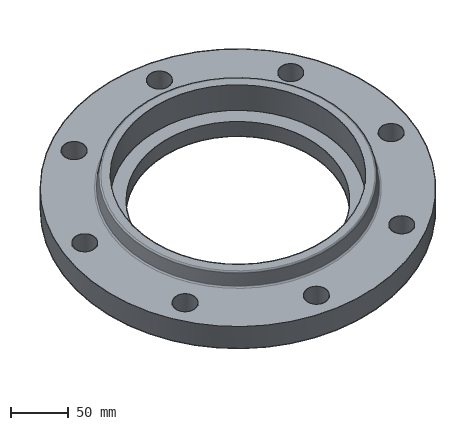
import cadquery as cq
import math

flange_diameter = 342.9
flange_thickness = 26.92
raised_face_diameter = 273.6
raised_face_height = 6.35
overall_height = 49.28

hub_base_diameter = 246.0
hub_top_diameter = 240.5
hub_root_fillet = 1.6
hub_rim_fillet = 1.6

bore_diameter = 194.0
socket_diameter = 221.5
socket_floor_height = 18.2

bolt_count = 8
bolt_circle_diameter = 298.45
bolt_hole_diameter = 22.35

flange_top_z = raised_face_height + flange_thickness
hub_height = overall_height - flange_top_z


def disc(diameter, bottom_z, height):
    """Upright cylinder centred on the Z axis."""
    return cq.Workplane("XY").workplane(offset=bottom_z).circle(diameter / 2).extrude(height)


def make_hub():
    """Cone frustum standing on top of the plate."""
    taper_angle = math.degrees(math.atan2((hub_base_diameter - hub_top_diameter) / 2, hub_height))
    base = cq.Workplane("XY").workplane(offset=flange_top_z).circle(hub_base_diameter / 2)
    return base.extrude(hub_height, taper=taper_angle)


def make_body():
    """Solid plate, raised face and hub with the hub edges rounded."""
    raised_face = disc(raised_face_diameter, 0, raised_face_height)
    plate = disc(flange_diameter, raised_face_height, flange_thickness)
    body = raised_face.union(plate).union(make_hub())
    body = body.faces(">Z").edges().fillet(hub_rim_fillet)
    plate_top = body.faces(cq.selectors.NearestToPointSelector((0, 0, flange_top_z)))
    hub_root = plate_top.edges(cq.selectors.RadiusNthSelector(0))
    return hub_root.fillet(hub_root_fillet)


def make_bolt_holes():
    """Ring of through-holes in the plate."""
    centres = cq.Workplane("XY").polarArray(bolt_circle_diameter / 2, 0, 360, bolt_count)
    return centres.circle(bolt_hole_diameter / 2).extrude(overall_height)


bore = disc(bore_diameter, 0, overall_height)
socket = disc(socket_diameter, socket_floor_height, overall_height - socket_floor_height)

result = make_body().cut(bore).cut(socket).cut(make_bolt_holes())